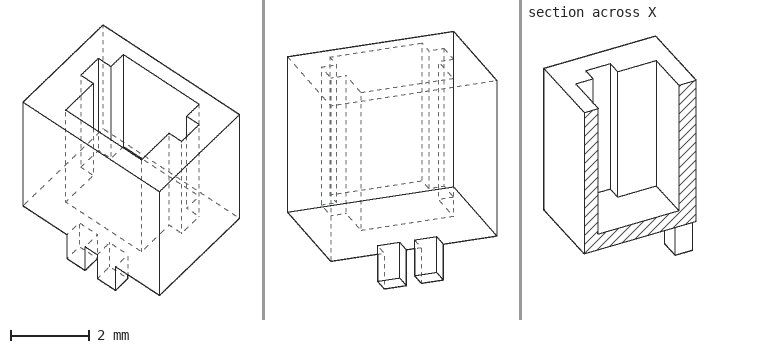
import cadquery as cq

width = 4.5
depth = 3.2
height = 5.35

pin_length = 1.0
pin_width = 0.6
pin_thickness = 0.5
pin_gap = 0.4

front_wall = 0.5
back_wall = 0.4
floor_thickness = 0.5
socket_width = 2.5
keyway_span = 3.32
keyway_width = 0.7
keyway_setback = 0.9

front_y = -depth / 2
back_y = depth / 2


def centered_block(size_x, y_min, y_max, z_min, z_max):
    """Block centered on X and spanning the given Y and Z limits."""
    return (
        cq.Workplane("XY")
        .box(size_x, y_max - y_min, z_max - z_min, centered=(True, False, False))
        .translate((0, y_min, z_min))
    )


def make_socket():
    socket_floor = pin_length + floor_thickness
    main = centered_block(
        socket_width, front_y + front_wall, back_y - back_wall, socket_floor, height
    )
    keyway_back = back_y - keyway_setback
    keyways = centered_block(
        keyway_span, keyway_back - keyway_width, keyway_back, socket_floor, height
    )
    return main.union(keyways)


housing = centered_block(width, front_y, back_y, pin_length, height)
result = housing.cut(make_socket())

pin_offset = (pin_width + pin_gap) / 2
for side in (-1, 1):
    pin = centered_block(pin_width, front_y, front_y + pin_thickness, 0, pin_length)
    result = result.union(pin.translate((side * pin_offset, 0, 0)))